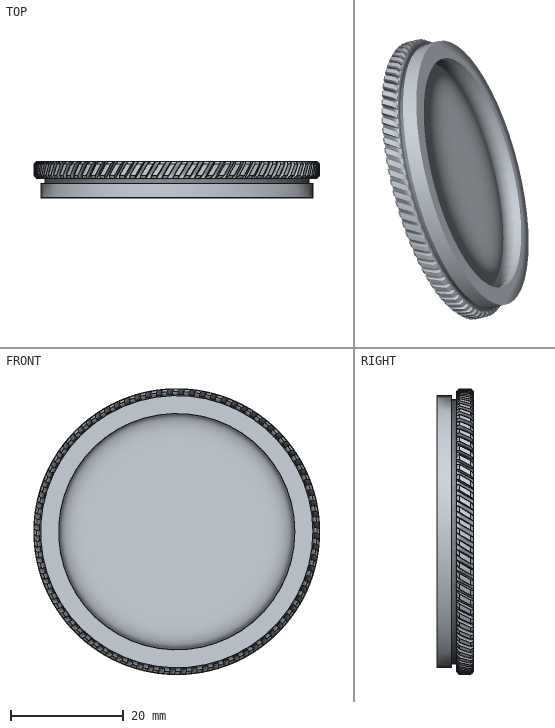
import cadquery as cq
import math

total_thickness = 6.5
rim_diameter = 50.8
rim_thickness = 3.0
rim_chamfer = 0.5

flange_diameter = 48.4
neck_diameter = 47.0
neck_width = 0.9

pocket_diameter = 42.0
pocket_depth = 3.5

tooth_count = 80
groove_depth = 1.0
knurl_twist = 4.1
first_groove_angle = -1.25

flange_width = total_thickness - rim_thickness - neck_width
neck_start = flange_width
rim_start = neck_start + neck_width

pitch_angle = 360 / tooth_count
groove_angle = pitch_angle / 2
groove_floor_radius = rim_diameter / 2 - groove_depth
groove_width = groove_floor_radius * math.radians(groove_angle)


def disc(diameter, start, width):
    """Round disc about the Y axis, growing towards +Y from Y = start."""
    plane = cq.Workplane("XZ", origin=(0, start, 0))
    return plane.circle(diameter / 2).extrude(-width)


def groove_cutter(angle):
    """Cutter for one slanted groove, twisting from the back of the rim to its front."""
    cutter_height = 2 * groove_depth
    profile = (
        cq.Workplane("XZ", origin=(0, total_thickness, 0))
        .transformed(rotate=(0, 0, angle))
        .moveTo(0, groove_floor_radius + cutter_height / 2)
        .rect(groove_width, cutter_height)
    )
    return profile.twistExtrude(rim_thickness, knurl_twist).val()


def knurled_rim():
    """Rim with both edges chamfered and slanted grooves cut all around it."""
    rim = disc(rim_diameter, rim_start, rim_thickness).edges().chamfer(rim_chamfer)
    cutters = [
        groove_cutter(first_groove_angle + index * pitch_angle)
        for index in range(tooth_count)
    ]
    return cq.Workplane(rim.val().cut(*cutters))


def spigot():
    """Narrow neck and wider flange in front of the rim."""
    neck = disc(neck_diameter, neck_start, neck_width)
    flange = disc(flange_diameter, 0, flange_width)
    return neck.union(flange)


pocket = disc(pocket_diameter, 0, pocket_depth)
result = knurled_rim().union(spigot()).cut(pocket)